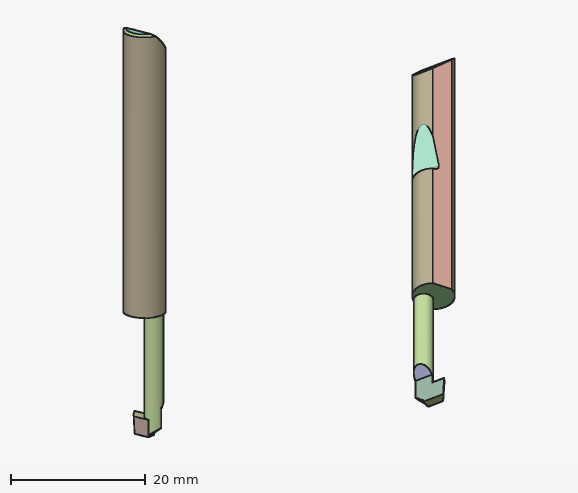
import cadquery as cq
import math

total_length = 63.5
shank_radius = 3.2
shank_bottom = 19.05
rim_chamfer_height = 0.3
rim_chamfer_width = 0.45

flat_direction = 150.0
flat_distance = shank_radius * math.cos(math.radians(30))

slope_front_y = -1.4

notch_bottom = 40.6
notch_top = 49.2
notch_floor_y = 1.7
notch_radius = 0.75

neck_radius = 1.45
neck_y = 0.05
neck_x = shank_radius - neck_radius
relief_bottom = 4.45
tip_bevel_height = 1.35
tip_bevel_start = 0.3

head_height = 3.0
head_front_height = 2.7
head_back_x = 1.85
head_edge_x = -1.85
head_front_y = -1.45
head_front_x = -0.9
head_flank_bulge = 0.1
head_bottom_taper = 0.2


def make_shank():
    shank = (
        cq.Workplane("XY")
        .workplane(offset=shank_bottom)
        .circle(shank_radius)
        .extrude(total_length - shank_bottom)
        .faces(">Z")
        .chamfer(rim_chamfer_height, rim_chamfer_width)
    )
    flat_cut = (
        cq.Workplane("XY")
        .box(shank_radius, 2 * shank_radius, total_length, centered=(False, True, False))
        .translate((flat_distance, 0, 0))
        .rotate((0, 0, 0), (0, 0, 1), flat_direction)
    )
    return shank.cut(flat_cut).cut(make_top_slope()).cut(make_notch())


def side_profile(points):
    """Prism through the full shank width from an outline of (y, z) points."""
    return cq.Workplane("YZ").polyline(points).close().extrude(shank_radius, both=True)


def make_top_slope():
    slope_drop = shank_radius - slope_front_y
    return side_profile([
        (slope_front_y, total_length),
        (shank_radius, total_length),
        (shank_radius, total_length - slope_drop),
    ])


def make_notch():
    notch = side_profile([
        (shank_radius, notch_bottom),
        (shank_radius, notch_top),
        (notch_floor_y, notch_bottom),
    ])
    return notch.edges("<Y").fillet(notch_radius)


def make_neck():
    neck = cq.Workplane("XY").center(neck_x, neck_y).circle(neck_radius).extrude(shank_bottom)
    relief = side_profile([
        (0, 0),
        (0, relief_bottom),
        (shank_radius, relief_bottom + shank_radius),
        (shank_radius, 0),
    ])
    tip_cut = (
        cq.Workplane("XZ")
        .polyline([
            (0, 0),
            (0, tip_bevel_start),
            (head_back_x, tip_bevel_start),
            (shank_radius, tip_bevel_height),
            (shank_radius, 0),
        ])
        .close()
        .extrude(shank_radius, both=True)
    )
    return neck.cut(relief).cut(tip_cut)


def head_outline(plane, taper):
    """Plan outline of the head, with its flank moved inward by the taper."""
    edge_x = head_edge_x + taper
    front_x = head_front_x + taper
    flank_middle = ((edge_x + front_x) / 2 - head_flank_bulge, head_front_y / 2)
    return (
        plane.moveTo(head_back_x, 0)
        .lineTo(edge_x, 0)
        .threePointArc(flank_middle, (front_x, head_front_y))
        .lineTo(head_back_x, head_front_y)
        .close()
    )


def make_head():
    bottom = head_outline(cq.Workplane("XY"), head_bottom_taper)
    top_plane = bottom.workplane(offset=head_height)
    head = head_outline(top_plane, 0).loft(ruled=True, combine=True)
    top_cut = side_profile([
        (0, head_height),
        (head_front_y, head_height),
        (head_front_y, head_front_height),
    ])
    return head.cut(top_cut)


result = make_shank().union(make_neck()).union(make_head())